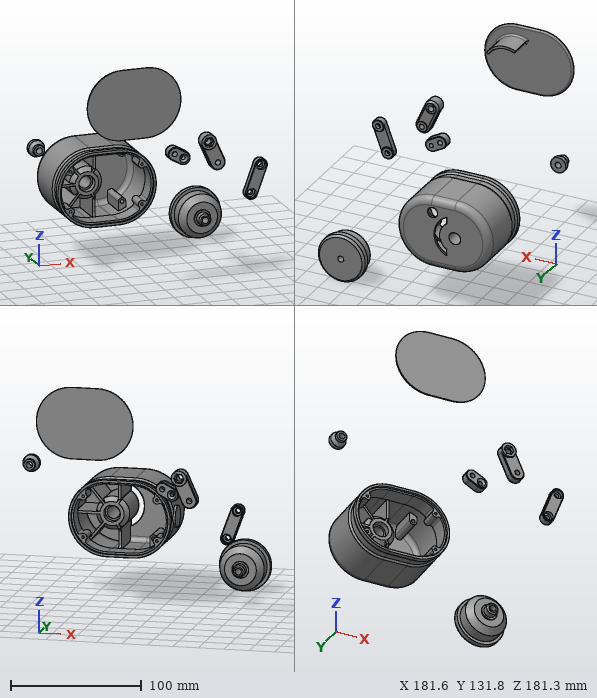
import cadquery as cq
import math

EPS = 0.5

HOUSING_DEPTH = 51.0
STRAIGHT = 20.0
HOUSING_CENTER = (STRAIGHT / 2, 0.0)
OUTER_R = 30.0
WALL = 2.0
INNER_R = OUTER_R - WALL
BACK_FILLET = 6.0
FLOOR_Y = HOUSING_DEPTH - WALL
FLOOR_FILLET = BACK_FILLET - WALL
RAISED_FLOOR_Y = 46.5
LID_SEAT_DEPTH = 2.0

LIP_R = 26.5
LIP_BACK_Y = 15.75

GROOVE_R = 28.5
GROOVE_FLANK = OUTER_R - GROOVE_R
GROOVE_Y = 4.0
GROOVE_FLOOR = 6.0

HUB_FACE_Y = 17.6
HUB_FACE_R = 9.5
HUB_BASE_R = 13.0
HUB_HOLE_R = 5.0
HUB_COUNTERBORE_R = 6.5
HUB_COUNTERBORE_DEPTH = 5.0

RIB_WIDTH = 2.0
CROSS_RIB_X = 6.0
SPOKE_ANGLE = 62.0
RADIAL_RIB_ANGLES = (130.0, 180.0, 230.0)
RIB_NOTCH_DEPTH = 1.8
RIB_NOTCH_TOP_Z = -11.8

SLOT_R = 17.75
FLOOR_HOLE = (19.0, 18.0)
FLOOR_HOLE_R = 4.25

LID_POST_OFFSET = (19.0, 16.0)
LID_POST_R = 3.0
LID_POST_FILLET = 2.0
LID_POST_HOLE_R = 1.0
LID_POST_HOLE_DEPTH = 12.0

MOUNT_BOSS_X = 31.0
MOUNT_BOSS_Z = 19.5
MOUNT_BOSS_R = 3.0
MOUNT_BOSS_Y = 24.4
MOUNT_HOLE_R = 1.5
MOUNT_HOLE_DEPTH = 12.0

SIDE_PAD_R = 8.5
SIDE_PAD_Y = 20.5
SIDE_PAD_X = STRAIGHT + OUTER_R + 1.0

LID_R = INNER_R
LID_THICKNESS = 2.0
LID_FRONT_Y = -80.85
LID_CENTER = (2.4, 92.0)
SHELF_R = 19.0
SHELF_THICKNESS = 2.0
SHELF_LENGTH = 19.65
SHELF_START = 32.5
SHELF_END = 117.0
SHELF_FILLET = 1.5

KNOB_AXIS = (98.0, -41.3)
KNOB_BACK_Y = 50.0
KNOB_FLANGE_R = 20.0
KNOB_FLANGE_CHAMFER = 1.8
KNOB_FLANGE_Y = 43.8
KNOB_BODY_R = 17.5
KNOB_CONE_BACK_Y = 34.5
KNOB_CONE_FRONT_Y = 29.5
KNOB_FACE_R = 12.5
KNOB_COLLAR_R = 6.5
KNOB_COLLAR_Y = 28.5
KNOB_NECK_R = 4.9
KNOB_NECK_CHAMFER = 1.2
KNOB_FRONT_Y = 22.3
KNOB_HOLE_R = 2.5

BUSH_AXIS = (-54.55, 44.7)
BUSH_HEAD_R = 6.5
BUSH_NECK_R = 4.3
BUSH_HOLE_R = 2.5
BUSH_BACK_Y = -16.2
BUSH_CONE_BACK_Y = -19.7
BUSH_CONE_FRONT_Y = -22.9
BUSH_FRONT_Y = -25.8

SHORT_PLAIN_END = (52.2, 33.4)
SHORT_SUNK_END = (59.65, 29.3)
SHORT_R = 5.2
SHORT_FRONT_Y = -35.0
SHORT_THICKNESS = 7.4
SHORT_CHAMFER = 0.5
SHORT_PLAIN_HOLE_R = 2.0
SHORT_SUNK_HOLE_R = 1.65
SHORT_SINK_R = 3.4

BOSSED_NUT_END = (71.2, 48.0)
BOSSED_PLAIN_END = (78.9, 30.6)
BOSSED_R = 6.0
BOSSED_FRONT_Y = -59.65
BOSSED_ARM_FRONT_Y = -58.0
BOSSED_ARM_BACK_Y = -50.1
BOSSED_BACK_Y = -49.6
BOSSED_PAD_R = 4.3
BOSSED_FRONT_CHAMFER = 0.6
BOSSED_BACK_CHAMFER = 1.6
BOSSED_NUT_HOLE_R = 2.5
BOSSED_PLAIN_HOLE_R = 2.1
NUT_ACROSS_FLATS = 7.0
NUT_DEPTH = 3.0

LONG_ENDS = ((115.58, 23.4), (107.6, 1.8))
LONG_R = 5.0
LONG_FRONT_Y = -54.2
LONG_ARM_BACK_Y = -49.0
LONG_BACK_Y = -47.9
LONG_CHAMFER = 0.5
LONG_HOLE_R = 2.0
LONG_COUNTERBORE_R = 3.6
LONG_COUNTERBORE_DEPTH = 3.0


def front_plane(y):
    """Sketch plane facing +Y at depth y; its local x, y are world -X, Z."""
    return cq.Workplane(cq.Plane(origin=(0, y, 0), xDir=(-1, 0, 0), normal=(0, 1, 0)))


def cylinder(center, radius, y_front, y_back):
    x, z = center
    return front_plane(y_front).center(-x, z).circle(radius).extrude(y_back - y_front)


def box(x_min, x_max, y_front, y_back, z_min, z_max):
    return (
        cq.Workplane("XY")
        .box(x_max - x_min, y_back - y_front, z_max - z_min, centered=False)
        .translate((x_min, y_front, z_min))
    )


def link_prism(end_a, end_b, radius, y_front, y_back):
    """Bar with round ends centred on end_a and end_b."""
    dx = end_b[0] - end_a[0]
    dz = end_b[1] - end_a[1]
    length = math.hypot(dx, dz)
    return (
        cq.Workplane("XZ")
        .slot2D(length + 2 * radius, 2 * radius)
        .extrude(y_front - y_back)
        .rotate((0, 0, 0), (0, 1, 0), -math.degrees(math.atan2(dz, dx)))
        .translate(((end_a[0] + end_b[0]) / 2, y_front, (end_a[1] + end_b[1]) / 2))
    )


def oval(center, radius, y_front, y_back):
    """Oval prism of the housing family: end arcs STRAIGHT apart."""
    x, z = center
    return link_prism((x - STRAIGHT / 2, z), (x + STRAIGHT / 2, z), radius, y_front, y_back)


def turned(axis, profile):
    """Solid of revolution about a Y-parallel axis, from (radius, y) points."""
    return (
        cq.Workplane("XY")
        .polyline(profile)
        .close()
        .revolve(360, (0, 0, 0), (0, 1, 0))
        .translate((axis[0], 0, axis[1]))
    )


def end_center_x(side_x):
    """X of the left (-1) or right (1) end-arc centre of the housing."""
    return HOUSING_CENTER[0] + side_x * STRAIGHT / 2


def lid_post_centers():
    return [
        (end_center_x(side_x) + side_x * LID_POST_OFFSET[0], side_z * LID_POST_OFFSET[1])
        for side_x in (-1, 1)
        for side_z in (-1, 1)
    ]


def throat():
    """Opening inside the lip: an oval narrowed by four round posts blended into the lip."""
    post_x, post_z = LID_POST_OFFSET
    reach = math.hypot(post_x, post_z)
    post_angle = math.atan2(post_z, post_x)
    blend_reach = LIP_R - LID_POST_FILLET
    blend_gap = LID_POST_R + LID_POST_FILLET
    spread = math.acos(
        (blend_reach**2 + reach**2 - blend_gap**2) / (2 * blend_reach * reach)
    )

    def blend(angle):
        """Lip end, middle and post end of the blend arc centred at the given angle."""
        center_x = blend_reach * math.cos(angle)
        center_z = blend_reach * math.sin(angle)
        lip_end = (LIP_R * math.cos(angle), LIP_R * math.sin(angle))
        post_end = (
            post_x + (center_x - post_x) * LID_POST_R / blend_gap,
            post_z + (center_z - post_z) * LID_POST_R / blend_gap,
        )
        toward_x = lip_end[0] + post_end[0] - 2 * center_x
        toward_z = lip_end[1] + post_end[1] - 2 * center_z
        scale = LID_POST_FILLET / math.hypot(toward_x, toward_z)
        middle = (center_x + scale * toward_x, center_z + scale * toward_z)
        return [lip_end, middle, post_end]

    post_tip = (
        post_x - LID_POST_R * math.cos(post_angle),
        post_z - LID_POST_R * math.sin(post_angle),
    )
    low_blend = blend(post_angle - spread)
    high_blend = blend(post_angle + spread)
    corner = low_blend + [post_tip] + high_blend[::-1]
    shoulder_angle = (post_angle + spread + math.pi / 2) / 2
    shoulder = (LIP_R * math.cos(shoulder_angle), LIP_R * math.sin(shoulder_angle))

    def place(point, side_x, side_z):
        return (end_center_x(side_x) + side_x * point[0], side_z * point[1])

    def trace_corner(sketch, points):
        for index in range(1, len(points), 2):
            sketch = sketch.threePointArc(points[index], points[index + 1])
        return sketch

    outline = cq.Workplane("XZ", origin=(0, LIP_BACK_Y, 0)).moveTo(*place(corner[0], 1, 1))
    for side in (1, -1):
        outline = trace_corner(outline, [place(point, side, side) for point in corner])
        outline = outline.threePointArc(place(shoulder, side, side), place((0, LIP_R), side, side))
        outline = outline.lineTo(*place((0, LIP_R), -side, side))
        outline = outline.threePointArc(place(shoulder, -side, side), place(corner[-1], -side, side))
        outline = trace_corner(outline, [place(point, -side, side) for point in corner[::-1]])
        outline = outline.threePointArc(place((LIP_R, 0), -side, side), place(corner[0], -side, -side))
    return outline.close().extrude(LIP_BACK_Y - LID_SEAT_DEPTH)


def housing_shell():
    shell = oval(HOUSING_CENTER, OUTER_R, 0, HOUSING_DEPTH).faces(">Y").edges().fillet(BACK_FILLET)
    chamber = oval(HOUSING_CENTER, INNER_R, LIP_BACK_Y, FLOOR_Y)
    chamber = chamber.faces(">Y").edges().fillet(FLOOR_FILLET)
    lid_seat = oval(HOUSING_CENTER, LID_R, 0, LID_SEAT_DEPTH)
    return shell.cut(lid_seat).cut(throat()).cut(chamber)


def mid_wall_envelope():
    """Solid bounded by the middle of the wall; inner features are trimmed to it."""
    inset = WALL / 2
    envelope = oval(HOUSING_CENTER, OUTER_R - inset, 0, HOUSING_DEPTH - inset)
    return envelope.faces(">Y").edges().fillet(BACK_FILLET - inset)


def groove_cutter():
    """Ring left around a waisted oval: flank, floor, flank."""
    y_floor = GROOVE_Y + GROOVE_FLANK
    y_back = y_floor + GROOVE_FLOOR + GROOVE_FLANK
    waist = oval(HOUSING_CENTER, GROOVE_R, GROOVE_Y, y_back)
    front_flank = oval(HOUSING_CENTER, OUTER_R, GROOVE_Y - EPS, y_floor)
    front_flank = front_flank.faces(">Y").edges().chamfer(GROOVE_FLANK)
    back_flank = oval(HOUSING_CENTER, OUTER_R, y_back - GROOVE_FLANK, y_back + EPS)
    back_flank = back_flank.faces("<Y").edges().chamfer(GROOVE_FLANK)
    ring = oval(HOUSING_CENTER, OUTER_R + EPS, GROOVE_Y, y_back)
    return ring.cut(waist).cut(front_flank).cut(back_flank)


def hub():
    slope = HUB_BASE_R - HUB_FACE_R
    return turned(
        (0, 0),
        [
            (0, HUB_FACE_Y),
            (HUB_FACE_R, HUB_FACE_Y),
            (HUB_BASE_R, HUB_FACE_Y + slope),
            (HUB_BASE_R, FLOOR_Y + EPS),
            (0, FLOOR_Y + EPS),
        ],
    )


def radial_rib(angle, length):
    rib = box(0, length, HUB_FACE_Y, FLOOR_Y + EPS, -RIB_WIDTH / 2, RIB_WIDTH / 2)
    return rib.rotate((0, 0, 0), (0, 1, 0), -angle)


def cross_rib(side_z):
    """Rib along Z, from a short spoke of the hub to the wall."""
    x_min = CROSS_RIB_X - RIB_WIDTH / 2
    spoke_turn = math.radians(SPOKE_ANGLE)
    spoke_z = CROSS_RIB_X * math.tan(spoke_turn)
    z_min, z_max = sorted((side_z * spoke_z, side_z * OUTER_R))
    rib = box(x_min, x_min + RIB_WIDTH, HUB_FACE_Y, FLOOR_Y + EPS, z_min, z_max)
    return rib.union(radial_rib(side_z * SPOKE_ANGLE, CROSS_RIB_X / math.cos(spoke_turn)))


def rib_notch():
    """Shallow step in the lower cross rib: sloped at the hub end, rounded up to the wall."""
    y_floor = HUB_FACE_Y + RIB_NOTCH_DEPTH
    y_front = y_floor - FLOOR_FILLET
    wall_z = -INNER_R
    round_z = wall_z + FLOOR_FILLET
    bend = FLOOR_FILLET * math.sin(math.pi / 4)
    profile = (
        cq.Workplane("YZ", origin=(CROSS_RIB_X - RIB_WIDTH / 2, 0, 0))
        .moveTo(y_front, wall_z)
        .threePointArc((y_front + bend, round_z - bend), (y_floor, round_z))
        .lineTo(y_floor, RIB_NOTCH_TOP_Z - RIB_NOTCH_DEPTH)
        .lineTo(y_front, RIB_NOTCH_TOP_Z - RIB_NOTCH_DEPTH + FLOOR_FILLET)
        .close()
    )
    return profile.extrude(RIB_WIDTH)


def raised_floor():
    """Thicker floor on the hub side, ending at the cross ribs."""
    return box(-OUTER_R, CROSS_RIB_X, RAISED_FLOOR_Y, FLOOR_Y + EPS, -OUTER_R, OUTER_R)


def mount_boss(side_z):
    """Post with a rounded inner side that reaches out to the wall."""
    post = cylinder((MOUNT_BOSS_X, side_z * MOUNT_BOSS_Z), MOUNT_BOSS_R, MOUNT_BOSS_Y, FLOOR_Y + EPS)
    z_min, z_max = sorted((side_z * MOUNT_BOSS_Z, side_z * OUTER_R))
    x_min = MOUNT_BOSS_X - MOUNT_BOSS_R
    x_max = MOUNT_BOSS_X + MOUNT_BOSS_R
    return post.union(box(x_min, x_max, MOUNT_BOSS_Y, FLOOR_Y + EPS, z_min, z_max))


def floor_slot():
    """Half-moon window between the hub and a concentric arc, right of the cross ribs."""
    moon = cylinder((0, 0), SLOT_R, RAISED_FLOOR_Y, HOUSING_DEPTH)
    moon = moon.cut(cylinder((0, 0), HUB_BASE_R, RAISED_FLOOR_Y, HOUSING_DEPTH))
    x_min = CROSS_RIB_X + RIB_WIDTH / 2
    return moon.intersect(box(x_min, OUTER_R, RAISED_FLOOR_Y, HOUSING_DEPTH, -OUTER_R, OUTER_R))


def side_pad():
    """Round flat on the right end of the housing."""
    x_start = STRAIGHT + INNER_R
    pad = cq.Workplane("YZ", origin=(x_start, 0, 0)).center(SIDE_PAD_Y, 0)
    pad = pad.circle(SIDE_PAD_R).extrude(SIDE_PAD_X - x_start)
    return pad.cut(oval(HOUSING_CENTER, INNER_R + WALL / 2, 0, HOUSING_DEPTH))


def make_housing():
    inside = raised_floor().union(hub())
    for side_z in (-1, 1):
        inside = inside.union(cross_rib(side_z))
    inside = inside.cut(rib_notch())
    for angle in RADIAL_RIB_ANGLES:
        inside = inside.union(radial_rib(angle, OUTER_R))
    for side_z in (-1, 1):
        inside = inside.union(mount_boss(side_z))
    inside = inside.intersect(mid_wall_envelope())

    body = housing_shell().cut(groove_cutter()).union(side_pad()).union(inside)
    counterbore_end_y = HUB_FACE_Y + HUB_COUNTERBORE_DEPTH
    body = body.cut(cylinder((0, 0), HUB_HOLE_R, 0, HOUSING_DEPTH))
    body = body.cut(cylinder((0, 0), HUB_COUNTERBORE_R, HUB_FACE_Y, counterbore_end_y))
    body = body.cut(floor_slot())
    body = body.cut(cylinder(FLOOR_HOLE, FLOOR_HOLE_R, RAISED_FLOOR_Y, HOUSING_DEPTH))
    mount_hole_end_y = MOUNT_BOSS_Y + MOUNT_HOLE_DEPTH
    for side_z in (-1, 1):
        center = (MOUNT_BOSS_X, side_z * MOUNT_BOSS_Z)
        body = body.cut(cylinder(center, MOUNT_HOLE_R, MOUNT_BOSS_Y, mount_hole_end_y))
    post_hole_end_y = LID_SEAT_DEPTH + LID_POST_HOLE_DEPTH
    for center in lid_post_centers():
        body = body.cut(cylinder(center, LID_POST_HOLE_R, LID_SEAT_DEPTH, post_hole_end_y))
    return body


def make_lid():
    """Oval plate with a curved shelf standing on its back."""
    y_back = LID_FRONT_Y + LID_THICKNESS
    plate = oval(LID_CENTER, LID_R, LID_FRONT_Y, y_back)
    axis = (LID_CENTER[0] + STRAIGHT / 2, LID_CENTER[1])

    def on_arc(radius, degrees):
        turn = math.radians(degrees)
        return (-axis[0] - radius * math.cos(turn), axis[1] + radius * math.sin(turn))

    middle = (SHELF_START + SHELF_END) / 2
    inner_r = SHELF_R - SHELF_THICKNESS
    shelf = (
        front_plane(y_back - LID_THICKNESS / 2)
        .moveTo(*on_arc(SHELF_R, SHELF_START))
        .threePointArc(on_arc(SHELF_R, middle), on_arc(SHELF_R, SHELF_END))
        .lineTo(*on_arc(inner_r, SHELF_END))
        .threePointArc(on_arc(inner_r, middle), on_arc(inner_r, SHELF_START))
        .close()
        .extrude(SHELF_LENGTH + LID_THICKNESS / 2)
    )
    lid = plate.union(shelf)
    root = cq.selectors.BoxSelector(
        (axis[0] - SHELF_R, y_back - EPS, axis[1]),
        (axis[0] + SHELF_R, y_back + EPS, axis[1] + SHELF_R + EPS),
    )
    return lid.edges(root).fillet(SHELF_FILLET)


def make_knob():
    return turned(
        KNOB_AXIS,
        [
            (KNOB_HOLE_R, KNOB_FRONT_Y),
            (KNOB_NECK_R - KNOB_NECK_CHAMFER, KNOB_FRONT_Y),
            (KNOB_NECK_R, KNOB_FRONT_Y + KNOB_NECK_CHAMFER),
            (KNOB_NECK_R, KNOB_COLLAR_Y),
            (KNOB_COLLAR_R, KNOB_COLLAR_Y),
            (KNOB_COLLAR_R, KNOB_CONE_FRONT_Y),
            (KNOB_FACE_R, KNOB_CONE_FRONT_Y),
            (KNOB_BODY_R, KNOB_CONE_BACK_Y),
            (KNOB_BODY_R, KNOB_FLANGE_Y),
            (KNOB_FLANGE_R, KNOB_FLANGE_Y),
            (KNOB_FLANGE_R, KNOB_BACK_Y - KNOB_FLANGE_CHAMFER),
            (KNOB_FLANGE_R - KNOB_FLANGE_CHAMFER, KNOB_BACK_Y),
            (KNOB_HOLE_R, KNOB_BACK_Y),
        ],
    )


def make_bush():
    return turned(
        BUSH_AXIS,
        [
            (BUSH_HOLE_R, BUSH_FRONT_Y),
            (BUSH_NECK_R, BUSH_FRONT_Y),
            (BUSH_NECK_R, BUSH_CONE_FRONT_Y),
            (BUSH_HEAD_R, BUSH_CONE_BACK_Y),
            (BUSH_HEAD_R, BUSH_BACK_Y),
            (BUSH_HOLE_R, BUSH_BACK_Y),
        ],
    )


def make_short_link():
    """Chamfered bar with one plain hole and one countersunk hole."""
    y_back = SHORT_FRONT_Y + SHORT_THICKNESS
    link = link_prism(SHORT_PLAIN_END, SHORT_SUNK_END, SHORT_R, SHORT_FRONT_Y, y_back)
    link = link.faces("<Y or >Y").edges().chamfer(SHORT_CHAMFER)
    sink = turned(
        SHORT_SUNK_END,
        [(0, SHORT_FRONT_Y), (SHORT_SINK_R, SHORT_FRONT_Y), (0, SHORT_FRONT_Y + SHORT_SINK_R)],
    )
    link = link.cut(sink)
    link = link.cut(cylinder(SHORT_PLAIN_END, SHORT_PLAIN_HOLE_R, SHORT_FRONT_Y, y_back))
    return link.cut(cylinder(SHORT_SUNK_END, SHORT_SUNK_HOLE_R, SHORT_FRONT_Y, y_back))


def make_bossed_link():
    """Bar with a raised boss and nut pocket at one end, and low round pads on its back."""
    ends = (BOSSED_NUT_END, BOSSED_PLAIN_END)
    link = link_prism(*ends, BOSSED_R, BOSSED_ARM_FRONT_Y, BOSSED_ARM_BACK_Y)
    link = link.faces("<Y").edges().chamfer(BOSSED_FRONT_CHAMFER)
    link = link.faces(">Y").edges().chamfer(BOSSED_BACK_CHAMFER)
    boss_back_y = BOSSED_ARM_BACK_Y - BOSSED_BACK_CHAMFER
    link = link.union(cylinder(BOSSED_NUT_END, BOSSED_R, BOSSED_FRONT_Y, boss_back_y))
    for end in ends:
        link = link.union(cylinder(end, BOSSED_PAD_R, boss_back_y, BOSSED_BACK_Y))
    link = link.cut(cylinder(BOSSED_NUT_END, BOSSED_NUT_HOLE_R, BOSSED_FRONT_Y, BOSSED_BACK_Y))
    link = link.cut(cylinder(BOSSED_PLAIN_END, BOSSED_PLAIN_HOLE_R, BOSSED_FRONT_Y, BOSSED_BACK_Y))
    x, z = BOSSED_NUT_END
    nut_pocket = (
        front_plane(BOSSED_FRONT_Y)
        .center(-x, z)
        .polygon(6, NUT_ACROSS_FLATS / math.cos(math.pi / 6))
        .extrude(NUT_DEPTH)
    )
    return link.cut(nut_pocket)


def make_long_link():
    """Bar with a counterbored hole and a raised round pad at each end."""
    link = link_prism(*LONG_ENDS, LONG_R, LONG_FRONT_Y, LONG_ARM_BACK_Y)
    link = link.faces("<Y").edges().chamfer(LONG_CHAMFER)
    for end in LONG_ENDS:
        pad = cylinder(end, LONG_R, LONG_ARM_BACK_Y - 2 * EPS, LONG_BACK_Y)
        link = link.union(pad.faces(">Y").edges().chamfer(LONG_CHAMFER))
    counterbore_end_y = LONG_FRONT_Y + LONG_COUNTERBORE_DEPTH
    for end in LONG_ENDS:
        link = link.cut(cylinder(end, LONG_HOLE_R, LONG_FRONT_Y, LONG_BACK_Y))
        link = link.cut(cylinder(end, LONG_COUNTERBORE_R, LONG_FRONT_Y, counterbore_end_y))
    return link


housing = make_housing()
lid = make_lid()
knob = make_knob()
bush = make_bush()
short_link = make_short_link()
bossed_link = make_bossed_link()
long_link = make_long_link()

result = cq.Compound.makeCompound(
    [
        housing.solids().val(),
        lid.solids().val(),
        knob.solids().val(),
        bush.solids().val(),
        short_link.solids().val(),
        bossed_link.solids().val(),
        long_link.solids().val(),
    ]
)